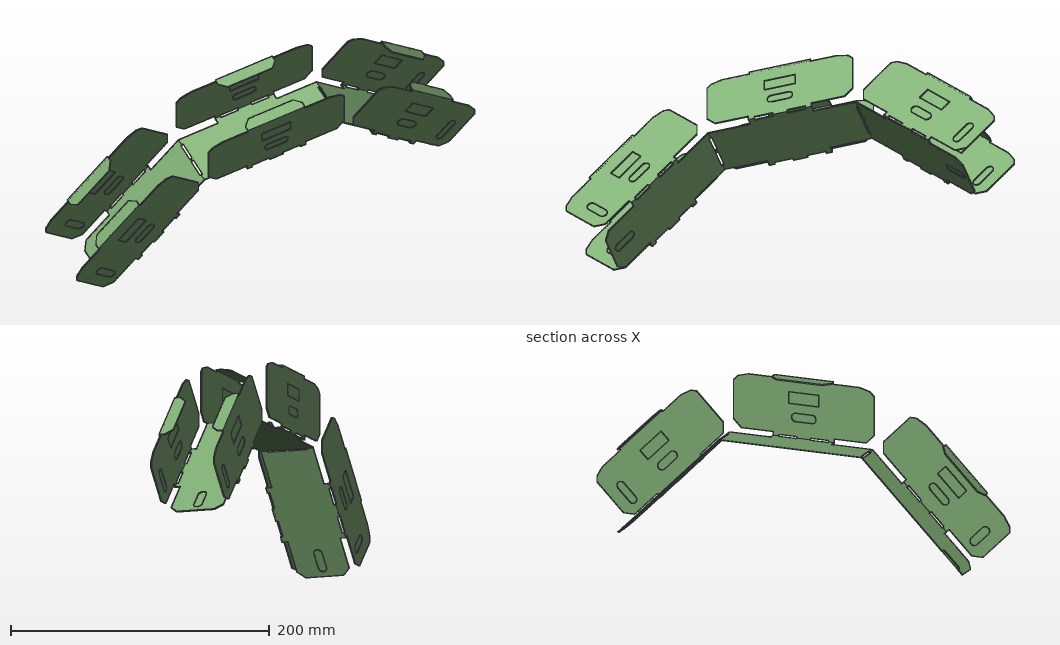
import cadquery as cq

THICKNESS = 1.0
OUTER_WIDTH = 54.79
ARM_WIDTH = OUTER_WIDTH - 2 * THICKNESS
HEIGHT = 49.9
SECTION_LENGTH = 120.0
BEND_ANGLE = 45.0

BASE_WIDTH = 43.0
BASE_END_CHAMFER = 6.0

WALL_SETBACK = 1.0
WALL_LENGTH = SECTION_LENGTH - 2 * WALL_SETBACK
WALL_BOTTOM = 3.8
LIP_STEP = 2.0
WALL_SHOULDER = HEIGHT - LIP_STEP
WALL_BOTTOM_CHAMFER = 6.6
CORNER_DROP = 6.0
CORNER_CHAMFER = 3.6
CORNER_RUN = 12.5
TAB_LENGTH = 51.0

LIP_LENGTH = 49.6
LIP_WIDTH = 10.2
LIP_CHAMFER = 5.5

PERFORATION_LENGTH = 15.0
PERFORATION_SIZE = 2.1
PERFORATION_CUT = 8.0
TAB_PERFORATION_OFFSET = 13.3
BEND_PERFORATION_OFFSET = 8.6

KNOCKOUT_DEPTH = 0.15
SLOT_LENGTH = 20.5
SLOT_WIDTH = 6.8
SLOT_HEIGHT = 17.4
WINDOW_LENGTH = 25.0
WINDOW_WIDTH = 9.4
WINDOW_HEIGHT = 32.8
END_SLOT_INSET = 14.8
END_SLOT_POSITION = SECTION_LENGTH / 2 - END_SLOT_INSET
END_SLOT_HEIGHT = 20.4


def box(x_size, y_size, z_size, x, y, z):
    """Box centred on (x, y, z)."""
    return cq.Workplane("XY").box(x_size, y_size, z_size).translate((x, y, z))


def base_plate():
    """Flat strip under the whole length of a section."""
    return cq.Workplane("XY").rect(BASE_WIDTH, SECTION_LENGTH).extrude(THICKNESS)


def side_wall(width):
    """Wall on the +X side, standing on its tab."""
    end = WALL_LENGTH / 2
    half_profile = [
        (TAB_LENGTH / 2, 0),
        (TAB_LENGTH / 2, WALL_BOTTOM),
        (end - WALL_BOTTOM_CHAMFER, WALL_BOTTOM),
        (end, WALL_BOTTOM + WALL_BOTTOM_CHAMFER),
        (end, WALL_SHOULDER - CORNER_DROP),
        (end - CORNER_CHAMFER, WALL_SHOULDER - CORNER_DROP + CORNER_CHAMFER),
        (end - CORNER_RUN, WALL_SHOULDER),
        (LIP_LENGTH / 2, WALL_SHOULDER),
        (LIP_LENGTH / 2, HEIGHT),
    ]
    mirrored = [(-y, z) for y, z in reversed(half_profile)]
    wall = cq.Workplane("YZ").polyline(half_profile + mirrored).close().extrude(THICKNESS)
    return wall.translate((width / 2 - THICKNESS, 0, 0))


def lip(width):
    """Inward lip on top of the +X wall, chamfered at its free corners."""
    plate = box(LIP_WIDTH, LIP_LENGTH, THICKNESS, (width - LIP_WIDTH) / 2, 0, HEIGHT - THICKNESS / 2)
    return plate.edges("|Z and <X").chamfer(LIP_CHAMFER)


def tab_perforations(width):
    """Two slots cut through the bend line between base and +X wall."""
    cutter = cq.Workplane("XY")
    for side in (-1, 1):
        cutter = cutter.union(
            box(
                2 * PERFORATION_SIZE, PERFORATION_LENGTH, 2 * PERFORATION_SIZE,
                width / 2, side * TAB_PERFORATION_OFFSET, 0,
            )
        )
    return cutter


def both_faces(outline, sheet_plane):
    """Turn a knockout outline into shallow recess cutters on both faces of a sheet."""
    first = outline.extrude(KNOCKOUT_DEPTH)
    second = first.translate(sheet_plane.zDir * (THICKNESS - KNOCKOUT_DEPTH))
    return first.union(second)


def wall_knockouts(width, is_arm):
    """Window and slot in the +X wall, plus an upright slot near the end of an arm."""
    plane = cq.Plane(origin=(width / 2 - THICKNESS, 0, 0), xDir=(0, 1, 0), normal=(1, 0, 0))
    window = cq.Workplane(plane).center(0, WINDOW_HEIGHT).rect(WINDOW_LENGTH, WINDOW_WIDTH)
    slot = cq.Workplane(plane).center(0, SLOT_HEIGHT).slot2D(SLOT_LENGTH, SLOT_WIDTH)
    cutter = both_faces(window, plane).union(both_faces(slot, plane))
    if is_arm:
        end_slot = cq.Workplane(plane).center(END_SLOT_POSITION, END_SLOT_HEIGHT)
        end_slot = end_slot.slot2D(SLOT_LENGTH, SLOT_WIDTH, 90)
        cutter = cutter.union(both_faces(end_slot, plane))
    return cutter


def channel_section(width, is_arm):
    """One open channel along Y, centred, with the underside of its base at Z = 0."""
    wall = side_wall(width).union(lip(width))
    tab_width = width / 2
    tab = box(tab_width, TAB_LENGTH, THICKNESS, tab_width / 2, 0, THICKNESS / 2)
    half = wall.union(tab)
    half = half.cut(tab_perforations(width)).cut(wall_knockouts(width, is_arm))
    return base_plate().union(half).union(half.mirror("YZ"))


def arm():
    """Arm leaving the middle section towards +Y, sloping down from the upper edge of the bend."""
    section = channel_section(ARM_WIDTH, True)
    section = section.faces(">Y").edges("|Z").chamfer(BASE_END_CHAMFER)
    plane = cq.Plane.XY()
    end_slot = cq.Workplane(plane).center(0, END_SLOT_POSITION).slot2D(SLOT_LENGTH, SLOT_WIDTH, 90)
    section = section.cut(both_faces(end_slot, plane))
    hinge = SECTION_LENGTH / 2
    section = section.translate((0, hinge, -THICKNESS))
    section = section.rotate((0, 0, 0), (1, 0, 0), -BEND_ANGLE)
    return section.translate((0, hinge, THICKNESS))


def bend_perforations():
    """Two slots through the +Y bend line of the base, tilted halfway between both plates."""
    cutter = cq.Workplane("XY")
    for side in (-1, 1):
        cutter = cutter.union(
            box(PERFORATION_LENGTH, PERFORATION_SIZE, PERFORATION_CUT, side * BEND_PERFORATION_OFFSET, 0, 0)
        )
    cutter = cutter.rotate((0, 0, 0), (1, 0, 0), -BEND_ANGLE / 2)
    return cutter.translate((0, SECTION_LENGTH / 2, THICKNESS))


back_arm = arm()
perforations = bend_perforations()
result = channel_section(OUTER_WIDTH, False)
result = result.union(back_arm).union(back_arm.mirror("XZ"))
result = result.cut(perforations).cut(perforations.mirror("XZ"))